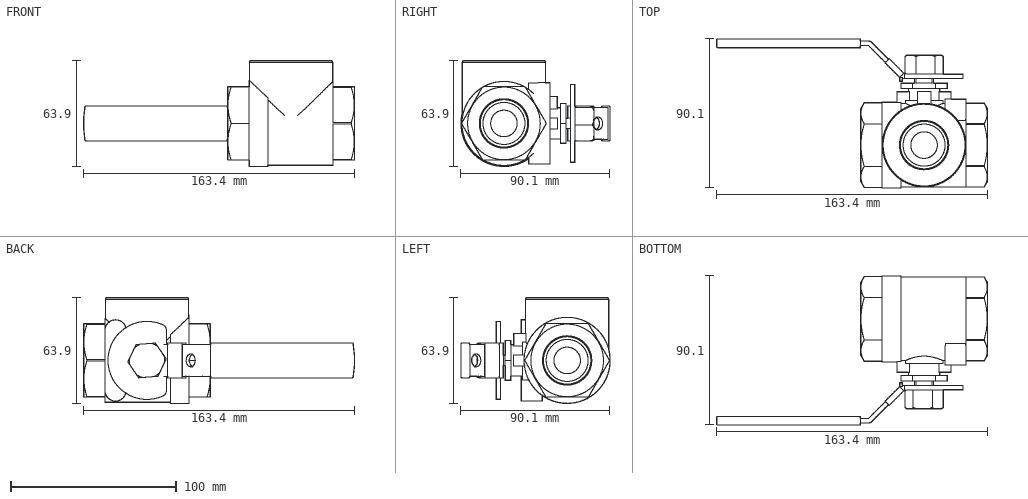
import cadquery as cq
import math


body_radius = 25.3
body_half_length = 25.3
collar_radius = 26.0
collar_length = 11.3
branch_radius = 25.2
branch_height = 37.9
branch_edge_drop = 1.1
branch_edge_inset = 0.5

run_half_length = 38.2
hex_flats = 44.3
hex_corner_radius = hex_flats / math.sqrt(3)
hex_face_radius = 21.9
hex_chamfer_length = 2.1

mouth_diameter = 29.7
thread_start_diameter = 28.6
thread_end_diameter = 25.3
seat_diameter = 16.0
mouth_chamfer_depth = 0.3
thread_depth = 12.6
port_depth = 18.1
ball_radius = 13.0

pad_diameter = 12.7
pad_center_x = body_half_length - pad_diameter / 2
pad_end_spacing = 36.3
pad_bottom = 14.9
pad_top = 27.8

gland_base_diameter = 23.5
gland_base_top = 26.8
neck_diameter = 19.0
stop_top = 32.2
stop_reach = 16.3
side_stop_width = 6.5
branch_stop_width = 8.2
gland_nut_flats = 24.2
gland_nut_bottom = 34.0
gland_nut_top = 37.5
stem_diameter = 11.6
stem_flats = 6.4

plate_radius = 23.5
plate_left = -11.8
plate_corner_radius = 4.0
plate_bottom = 40.0
plate_top = 42.8
plate_thickness = plate_top - plate_bottom
handle_nut_flats = 20.1
handle_nut_corner_radius = handle_nut_flats / math.sqrt(3)
handle_nut_top = 54.2
handle_nut_turn = 4.4
handle_nut_chamfer = 1.0

lever_width = 21.2
arm_width = 19.3
arm_thickness = 2.8
wide_part_length = 12.5
wide_part_below = 0.3
wide_part_above = 3.3
arm_foot = (-14.5, 41.0)
arm_bend = (-33.5, 60.0)
arm_hole_diameter = 7.7
arm_hole_from_foot = 19.5
tab_right = -13.0
tab_bottom = 38.4

grip_left = -125.2
grip_right = -38.4
grip_tip_bulge = 1.0
grip_thickness = 5.4
grip_edge_radius = 1.0
grip_center_y = arm_bend[1] + arm_thickness / 2

overlap = 1.6


def x_cylinder(radius, start, end):
    return cq.Workplane("YZ").workplane(offset=start).circle(radius).extrude(end - start)


def y_plane(height):
    """Workplane facing +Y at the given height, with local x along X and local y along -Z."""
    return cq.Workplane("XZ", origin=(0, height, 0)).transformed(rotate=(180, 0, 0))


def y_cylinder(diameter, bottom, top):
    return y_plane(bottom).circle(diameter / 2).extrude(top - bottom)


def y_hexagon(corner_radius, bottom, top, turn=0):
    outline = y_plane(bottom).transformed(rotate=(0, 0, turn))
    return outline.polygon(6, 2 * corner_radius).extrude(top - bottom)


def run_end(corner_limit):
    """Hexagonal end on the +X side, its corners trimmed to a radius and chamfered at the face."""
    hexagon = (
        cq.Workplane("YZ")
        .workplane(offset=body_half_length - overlap)
        .polygon(6, 2 * hex_corner_radius)
        .extrude(run_half_length - body_half_length + overlap)
    )
    envelope = (
        cq.Workplane("XY")
        .polyline([
            (0, 0),
            (run_half_length, 0),
            (run_half_length, hex_face_radius),
            (run_half_length - hex_chamfer_length, hex_corner_radius),
            (0, hex_corner_radius),
        ])
        .close()
        .revolve(360, (0, 0, 0), (1, 0, 0))
    )
    return hexagon.intersect(envelope).intersect(x_cylinder(corner_limit, 0, run_half_length))


def port(face_distance, seat_end):
    """Cutter for a port along +Z whose mouth is at face_distance from the origin."""
    thread_end = face_distance - thread_depth
    floor = face_distance - port_depth
    return (
        cq.Workplane("XZ")
        .polyline([
            (0, seat_end),
            (seat_diameter / 2, seat_end),
            (seat_diameter / 2, floor),
            (thread_end_diameter / 2, floor),
            (thread_end_diameter / 2, thread_end),
            (thread_start_diameter / 2, face_distance - mouth_chamfer_depth),
            (mouth_diameter / 2, face_distance),
            (0, face_distance),
        ])
        .close()
        .revolve(360, (0, 0, 0), (0, 1, 0))
    )


def branch():
    return (
        cq.Workplane("XY")
        .circle(branch_radius)
        .extrude(branch_height)
        .faces(">Z")
        .chamfer(branch_edge_drop, branch_edge_inset)
    )


def valve_body():
    body = x_cylinder(body_radius, -body_half_length, body_half_length)
    body = body.union(x_cylinder(collar_radius, -body_half_length, collar_length - body_half_length))
    body = body.union(branch())
    body = body.union(run_end(body_radius))
    body = body.union(run_end(hex_corner_radius).mirror("YZ"))
    pad = (
        y_plane(pad_bottom)
        .center(pad_center_x, 0)
        .slot2D(pad_end_spacing + pad_diameter, pad_diameter, 90)
        .extrude(pad_top - pad_bottom)
    )
    return body.union(pad)


def ports():
    """Cutters for the three ports; the run ports stop on the round surface of the ball."""
    ball = cq.Workplane("XY").sphere(ball_radius)
    run_port = port(run_half_length, 0).cut(ball)
    right_port = run_port.rotate((0, 0, 0), (0, 1, 0), 90)
    left_port = run_port.rotate((0, 0, 0), (0, 1, 0), -90)
    return [right_port, left_port, port(branch_height, ball_radius)]


def gland_and_stem():
    gland = y_cylinder(gland_base_diameter, pad_bottom, gland_base_top)
    gland = gland.union(y_cylinder(neck_diameter, pad_bottom, gland_nut_bottom))
    stop_height = stop_top - pad_bottom
    stop_center_y = pad_bottom + stop_height / 2
    side_stops = cq.Workplane("XY").box(2 * stop_reach, stop_height, side_stop_width)
    branch_stop = cq.Workplane("XY").box(branch_stop_width, stop_height, stop_reach)
    gland = gland.union(side_stops.translate((0, stop_center_y, 0)))
    gland = gland.union(branch_stop.translate((0, stop_center_y, stop_reach / 2)))
    gland = gland.union(y_hexagon(gland_nut_flats / math.sqrt(3), gland_nut_bottom, gland_nut_top))
    stem_length = plate_top - gland_nut_bottom
    flats = cq.Workplane("XY").box(stem_diameter, stem_length, stem_flats)
    flats = flats.translate((0, gland_nut_bottom + stem_length / 2, 0))
    return gland.union(y_cylinder(stem_diameter, gland_nut_bottom, plate_top).intersect(flats))


def handle_plate():
    """Disc with one straight side and rounded corners."""
    width = plate_radius - plate_left
    trim = cq.Workplane("XY").box(width, 2 * plate_thickness, 2 * plate_radius)
    trim = trim.translate((plate_left + width / 2, plate_bottom + plate_thickness / 2, 0))
    plate = y_cylinder(2 * plate_radius, plate_bottom, plate_top).intersect(trim)
    return plate.faces("<X").edges("|Y").fillet(plate_corner_radius)


def handle_nut():
    nut = y_hexagon(handle_nut_corner_radius, plate_top, handle_nut_top, handle_nut_turn)
    envelope = y_cylinder(2 * handle_nut_corner_radius, plate_top, handle_nut_top)
    return nut.intersect(envelope.faces(">Y").chamfer(handle_nut_chamfer))


def lever():
    slope_length = math.dist(arm_foot, arm_bend)
    along = ((arm_bend[0] - arm_foot[0]) / slope_length, (arm_bend[1] - arm_foot[1]) / slope_length)
    outward = (along[1], -along[0])

    def on_slope(distance, height):
        """Point at a distance from the foot along the slope and a height above its lower face."""
        return (
            arm_foot[0] + distance * along[0] + height * outward[0],
            arm_foot[1] + distance * along[1] + height * outward[1],
        )

    half_turn = math.atan2(outward[0], outward[1]) / 2
    bend_middle = (
        arm_bend[0] + arm_thickness * math.sin(half_turn),
        arm_bend[1] + arm_thickness * math.cos(half_turn),
    )
    arm = (
        cq.Workplane("XY")
        .moveTo(*arm_foot)
        .lineTo(*arm_bend)
        .lineTo(grip_right - overlap, arm_bend[1])
        .lineTo(grip_right - overlap, arm_bend[1] + arm_thickness)
        .lineTo(arm_bend[0], arm_bend[1] + arm_thickness)
        .threePointArc(bend_middle, on_slope(slope_length, arm_thickness))
        .lineTo(*on_slope(0, arm_thickness))
        .close()
        .extrude(arm_width / 2, both=True)
    )
    wide_foot = on_slope(0, -wide_part_below)
    wide_part = (
        cq.Workplane("XY")
        .polyline([
            wide_foot,
            on_slope(wide_part_length, -wide_part_below),
            on_slope(wide_part_length, wide_part_above),
            on_slope(0, wide_part_above),
        ])
        .close()
        .extrude(lever_width / 2, both=True)
    )
    link = (
        cq.Workplane("XY")
        .polyline([
            wide_foot,
            on_slope(0, wide_part_above),
            (plate_left + overlap, plate_top),
            (plate_left + overlap, plate_bottom),
            (tab_right, plate_bottom),
        ])
        .close()
        .extrude(arm_width / 2, both=True)
    )
    tab = (
        cq.Workplane("XY")
        .polyline([
            wide_foot,
            (tab_right, wide_foot[1]),
            (tab_right, tab_bottom),
            (wide_foot[0], tab_bottom),
        ])
        .close()
        .extrude(lever_width / 2, both=True)
    )
    hole_x, hole_y = on_slope(arm_hole_from_foot, 0)
    hole_plane = cq.Plane(origin=(hole_x, hole_y, 0), xDir=(0, 0, 1), normal=(*outward, 0))
    hole = cq.Workplane(hole_plane).circle(arm_hole_diameter / 2).extrude(2 * arm_thickness, both=True)
    return arm.union(wide_part).union(link).union(tab).cut(hole)


def grip():
    half_width = lever_width / 2
    shoulder_x = grip_left + grip_tip_bulge
    sleeve = (
        y_plane(grip_center_y - grip_thickness / 2)
        .moveTo(grip_right, -half_width)
        .lineTo(shoulder_x, -half_width)
        .threePointArc((grip_left, 0), (shoulder_x, half_width))
        .lineTo(grip_right, half_width)
        .close()
        .extrude(grip_thickness)
    )
    return sleeve.edges("not(>X)").fillet(grip_edge_radius)


result = valve_body().union(gland_and_stem())
for cutter in ports():
    result = result.cut(cutter)
for handle_piece in (handle_plate(), handle_nut(), lever(), grip()):
    result = result.union(handle_piece)